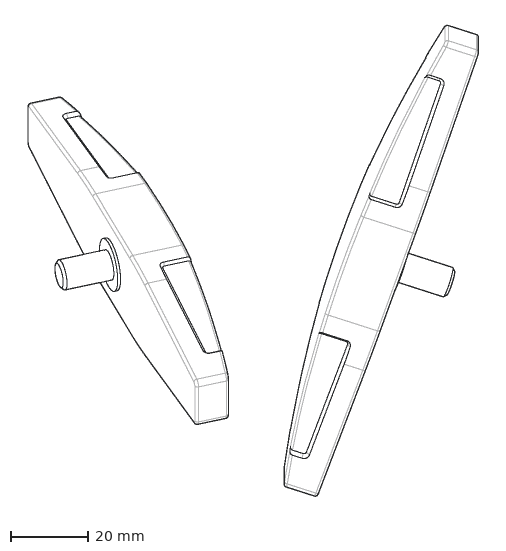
import cadquery as cq
import math

length = 130.0
width = 25.2
end_width = 14.0
height = 15.3
crown_drop = 6.2
taper_start = 20.2
side_blend_radius = 94.9
tip_corner_radius = 1.5
back_fillet = 0.8
face_fillet = 0.8

recess_inner = 20.2
recess_outer = 54.5
recess_base = 6.8
recess_depth = 1.0
recess_corner_radius = 0.6
recess_back_fillet = 0.6
recess_wall_angle = 40.0
clearance = 2.6

collar_diameter = 14.0
collar_height = 0.8
stud_diameter = 8.0
stud_length = 14.4
stud_chamfer = 0.8

half_length = length / 2
taper_angle = math.atan2((width - end_width) / 2, half_length - taper_start)


def make_crown_profile():
    """Side shape seen along Z: flat mounting face under a curved back."""
    tip_height = height - crown_drop
    return (
        cq.Workplane("XY")
        .moveTo(-half_length, 0)
        .lineTo(half_length, 0)
        .lineTo(half_length, tip_height)
        .threePointArc((0, height), (-half_length, tip_height))
        .close()
        .extrude(width, both=True)
    )


def make_body():
    """Tapered outline with a curved back and rounded edges."""
    half_width = width / 2
    half_end = end_width / 2
    outline = (
        cq.Workplane("XZ")
        .polyline([
            (-half_length, -half_end),
            (-taper_start, -half_width),
            (taper_start, -half_width),
            (half_length, -half_end),
            (half_length, half_end),
            (taper_start, half_width),
            (-taper_start, half_width),
            (-half_length, half_end),
        ])
        .close()
        .extrude(-height)
    )
    outline = outline.edges("|Y").edges("<X or >X").fillet(tip_corner_radius)
    taper_corners = cq.selectors.BoxSelector(
        (-taper_start - clearance, 0, -width), (taper_start + clearance, height, width)
    )
    outline = outline.edges("|Y").edges(taper_corners).fillet(side_blend_radius)

    body = outline.intersect(make_crown_profile())
    body = body.faces("<Y").edges().fillet(face_fillet)
    return body.faces(">Y").edges().fillet(back_fillet)


def make_recess():
    """Cutting body for the recess on the +X, +Z side, its floor parallel to the taper."""
    run = 1 / math.cos(taper_angle)
    start = (recess_inner - taper_start) * run
    end = (recess_outer - taper_start) * run
    top = height + clearance
    taper_plane = cq.Plane(
        origin=(taper_start, 0, width / 2),
        xDir=(math.cos(taper_angle), 0, -math.sin(taper_angle)),
        normal=(math.sin(taper_angle), 0, math.cos(taper_angle)),
    )
    floor = (
        cq.Sketch()
        .push([((start + end) / 2, (recess_base + top) / 2)])
        .rect(end - start, top - recess_base)
        .reset()
        .vertices()
        .fillet(recess_corner_radius)
    )
    return (
        cq.Workplane(taper_plane)
        .workplane(offset=-recess_depth)
        .placeSketch(floor)
        .extrude(recess_depth + clearance, taper=-recess_wall_angle)
    )


def round_recess_backs(handle):
    """Round the edges where the recess floors meet the curved back."""
    for side_x in (1, -1):
        for side_z in (1, -1):
            floor_direction = cq.Vector(
                side_x * math.sin(taper_angle), 0, side_z * math.cos(taper_angle)
            )
            recess_floor = handle.faces(cq.selectors.ParallelDirSelector(floor_direction))
            floor = recess_floor.faces(cq.selectors.DirectionNthSelector(floor_direction, -2))
            handle = floor.edges(">Y").fillet(recess_back_fillet)
    return handle


def make_stud():
    """Plain stud with its collar on the mounting face."""
    collar = cq.Workplane("XZ").circle(collar_diameter / 2).extrude(collar_height)
    stud = cq.Workplane("XZ").circle(stud_diameter / 2).extrude(stud_length)
    stud = stud.faces("<Y").chamfer(stud_chamfer)
    return collar.union(stud)


recess = make_recess()
recess_pair = recess.union(recess.mirror("YZ"))

result = make_body()
result = result.cut(recess_pair)
result = result.cut(recess_pair.mirror("XY"))
result = round_recess_backs(result)
result = result.union(make_stud())